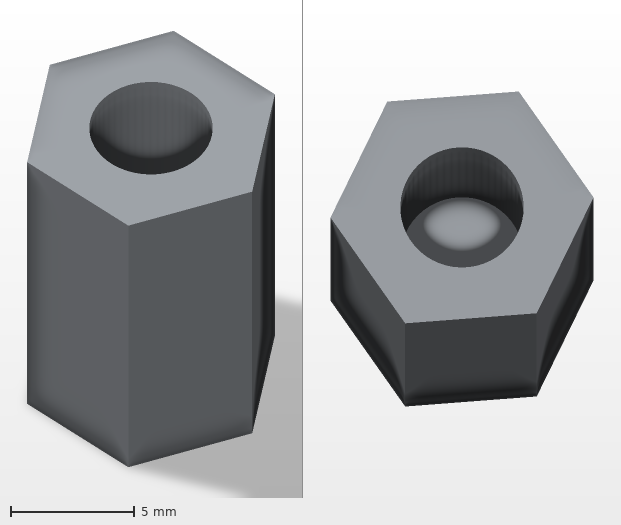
import cadquery as cq
import math

height = 14.8
across_flats = 9.26
across_corners = across_flats / math.cos(math.pi / 6)

bore_diameter = 5.0
bore_depth = 8.88

body = cq.Workplane("XY").polygon(6, across_corners).extrude(height)

result = body.faces(">Z").workplane().hole(bore_diameter, bore_depth)